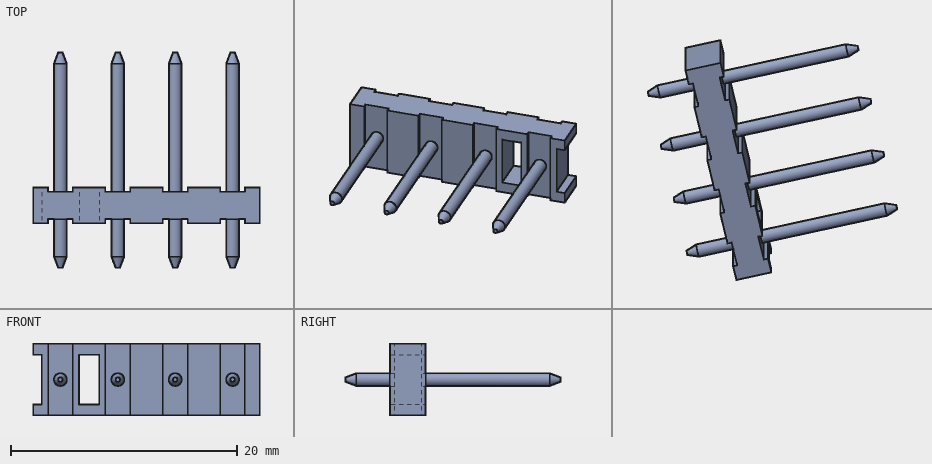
import cadquery as cq

body_length = 20.07
body_depth = 3.18
body_height = 6.35

pin_count = 4
pin_pitch = 5.08
pin_diameter = 1.14
pin_length = 19.05
pin_front_reach = 3.93
tip_length = 0.98
tip_diameter = 0.40

groove_width = 2.18
groove_depth = 0.38

opening_height = 4.37
window_width = 1.78
notch_depth = 0.76

body_front = -body_depth / 2
body_left = -body_length / 2
first_pin_x = -(pin_count - 1) * pin_pitch / 2
pin_positions = [first_pin_x + i * pin_pitch for i in range(pin_count)]
window_x = first_pin_x + pin_pitch / 2


def make_body():
    """Plain block centred on the origin."""
    return cq.Workplane("XY").box(body_length, body_depth, body_height)


def make_groove_pair(x):
    """Cutters for the front and back grooves at one pin."""
    return (
        cq.Workplane("XY")
        .pushPoints([(x, -body_depth / 2), (x, body_depth / 2)])
        .rect(groove_width, 2 * groove_depth)
        .extrude(body_height / 2, both=True)
    )


def make_opening(x, width):
    """Cutter passing through the block along Y."""
    return cq.Workplane("XY").box(width, body_depth, opening_height).translate((x, 0, 0))


def make_pin(x):
    """Round pin along Y with a blunt cone at both ends."""
    radius = pin_diameter / 2
    tip_radius = tip_diameter / 2
    front_end = body_front - pin_front_reach
    back_end = front_end + pin_length
    half_profile = (
        cq.Workplane("XY")
        .moveTo(0, front_end)
        .lineTo(tip_radius, front_end)
        .lineTo(radius, front_end + tip_length)
        .lineTo(radius, back_end - tip_length)
        .lineTo(tip_radius, back_end)
        .lineTo(0, back_end)
        .close()
    )
    pin = half_profile.revolve(360, (0, 0, 0), (0, 1, 0))
    return pin.translate((x, 0, 0))


result = make_body()
for pin_x in pin_positions:
    result = result.cut(make_groove_pair(pin_x))

result = result.cut(make_opening(window_x, window_width))
result = result.cut(make_opening(body_left, 2 * notch_depth))

for pin_x in pin_positions:
    result = result.union(make_pin(pin_x))